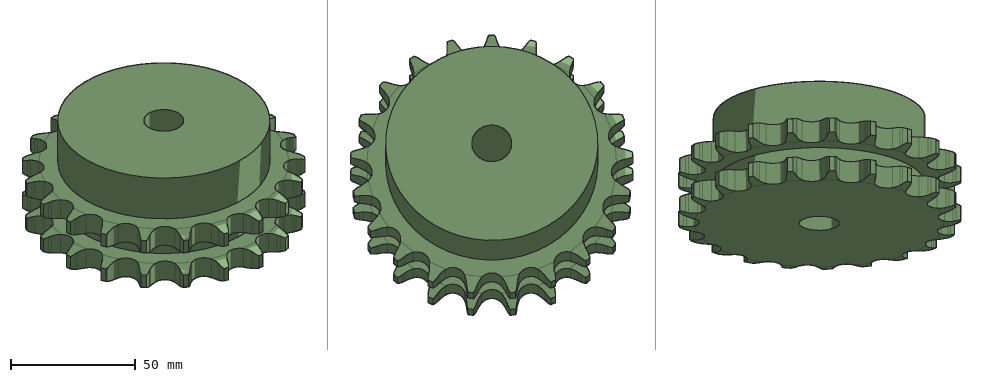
import cadquery as cq
import math

tooth_count = 21
pitch_diameter = 106.5
overall_width = 113.2
tip_half_angle = math.radians(1.1)
roller_diameter = 10.2

plate_thickness = 9.0
strand_spacing = 16.5

hub_diameter = 85.0
bore_diameter = 16.0
overall_height = 45.0

relief_inner_radius = 49.9
relief_arc_radius = 16.0
tip_clearance = 0.6

seat_radius = 1.005 * roller_diameter / 2
work_center_offset = 0.8 * roller_diameter
topping_center_offset = 1.4 * roller_diameter
seat_angle = math.radians(35 + 60 / tooth_count)
work_angle = math.radians(18 - 56 / tooth_count)

pitch_radius = pitch_diameter / 2
half_tooth_angle = math.pi / tooth_count

outside_radius = overall_width / 2 / math.cos(half_tooth_angle / 2 - tip_half_angle)


def offset(start, distance, angle):
    """Point at a distance and direction from a start point."""
    return (start[0] + distance * math.cos(angle), start[1] + distance * math.sin(angle))


def right_flank():
    """Flank points from the seat outward, for the gap centred on +Y."""
    roller_center = (0, pitch_radius)

    work_center = offset(roller_center, work_center_offset, math.pi - seat_angle)
    work_radius = work_center_offset + seat_radius
    work_end_angle = work_angle - seat_angle
    seat_end = offset(roller_center, seat_radius, -seat_angle)
    work_middle = offset(work_center, work_radius, work_end_angle - work_angle / 2)
    work_end = offset(work_center, work_radius, work_end_angle)

    topping_center = offset(roller_center, topping_center_offset, -half_tooth_angle)
    topping_radius = (
        (topping_center[0] - work_end[0]) * math.cos(work_end_angle)
        + (topping_center[1] - work_end[1]) * math.sin(work_end_angle)
    )
    topping_start_angle = work_end_angle + math.pi
    topping_start = offset(topping_center, topping_radius, topping_start_angle)

    center_distance = math.hypot(*topping_center)
    center_angle = math.atan2(topping_center[1], topping_center[0])
    cosine = (outside_radius**2 - center_distance**2 - topping_radius**2) / (
        2 * center_distance * topping_radius
    )
    topping_end_angle = center_angle + math.acos(cosine)
    topping_middle = offset(topping_center, topping_radius, (topping_start_angle + topping_end_angle) / 2)
    tip = offset(topping_center, topping_radius, topping_end_angle)
    return seat_end, work_middle, work_end, topping_start, topping_middle, tip


def tooth_outline():
    """Closed outline of the toothed plate, traced clockwise gap by gap."""
    flank = right_flank()
    seat_bottom = (0, pitch_radius - seat_radius)
    tooth_top = offset((0, 0), outside_radius, math.pi / 2 - half_tooth_angle)

    def turned(point, gap):
        angle = -2 * half_tooth_angle * gap
        x, y = point
        return (
            x * math.cos(angle) - y * math.sin(angle),
            x * math.sin(angle) + y * math.cos(angle),
        )

    def mirrored(point):
        return (-point[0], point[1])

    seat_end, work_middle, work_end, topping_start, topping_middle, tip = flank
    outline = cq.Workplane("XY").moveTo(*mirrored(tip))
    for gap in range(tooth_count):
        outline = (
            outline
            .threePointArc(turned(mirrored(topping_middle), gap), turned(mirrored(topping_start), gap))
            .lineTo(*turned(mirrored(work_end), gap))
            .threePointArc(turned(mirrored(work_middle), gap), turned(mirrored(seat_end), gap))
            .threePointArc(turned(seat_bottom, gap), turned(seat_end, gap))
            .threePointArc(turned(work_middle, gap), turned(work_end, gap))
            .lineTo(*turned(topping_start, gap))
            .threePointArc(turned(topping_middle, gap), turned(tip, gap))
            .threePointArc(turned(tooth_top, gap), turned(mirrored(tip), gap + 1))
        )
    return outline.close()


def relief_blank():
    """Round disc whose rim narrows outward along arcs tangent to both flat faces."""
    def relief_depth(radius):
        run = radius - relief_inner_radius
        return relief_arc_radius - math.sqrt(relief_arc_radius**2 - run**2)

    rim_radius = outside_radius + tip_clearance
    middle_radius = (relief_inner_radius + rim_radius) / 2
    rim_depth = relief_depth(rim_radius)
    middle_depth = relief_depth(middle_radius)
    return (
        cq.Workplane("XZ")
        .lineTo(relief_inner_radius, 0)
        .threePointArc((middle_radius, middle_depth), (rim_radius, rim_depth))
        .lineTo(rim_radius, plate_thickness - rim_depth)
        .threePointArc(
            (middle_radius, plate_thickness - middle_depth),
            (relief_inner_radius, plate_thickness),
        )
        .lineTo(0, plate_thickness)
        .close()
        .revolve(360, (0, 0, 0), (0, 1, 0))
    )


toothed_plate = tooth_outline().extrude(plate_thickness).intersect(relief_blank())
hub = cq.Workplane("XY").circle(hub_diameter / 2).extrude(overall_height)
bore = cq.Workplane("XY").circle(bore_diameter / 2).extrude(overall_height)

result = (
    hub
    .union(toothed_plate)
    .union(toothed_plate.translate((0, 0, strand_spacing)))
    .cut(bore)
)